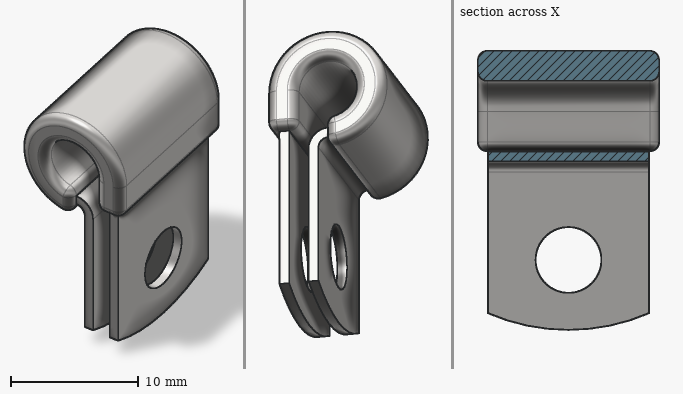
import cadquery as cq
import math


strap_thickness = 0.79375
strap_width = 12.7
strap_inner_radius = 3.175
strap_outer_radius = strap_inner_radius + strap_thickness
bend_inner_radius = strap_thickness
bend_outer_radius = bend_inner_radius + strap_thickness
bend_center_z = -strap_inner_radius - bend_outer_radius

tip_z = -17.21
tip_radius = 15.875
hole_diameter = 5.159
hole_z = -11.7

cushion_width = strap_width + 2 * strap_thickness
cushion_inner_radius = 2.37
cushion_outer_radius = 4.7775
cushion_leg_length = 3.15
cushion_arc_middle_angle = 135
cushion_fillet = 0.762


def point_on_circle(radius, angle):
    """Point at an angle (degrees, from +X towards +Z) on a circle about the loop axis."""
    return (radius * math.cos(math.radians(angle)), radius * math.sin(math.radians(angle)))


def extrude_centered(profile, width):
    """Close a profile and extrude it equally to both sides of its plane."""
    return profile.close().extrude(width / 2, both=True)


def make_cushion():
    """C-shaped cushion, cut square below the axis, with all edges rounded."""
    outer_middle = point_on_circle(cushion_outer_radius, cushion_arc_middle_angle)
    inner_middle = point_on_circle(cushion_inner_radius, cushion_arc_middle_angle)
    profile = (
        cq.Workplane("XZ")
        .moveTo(cushion_outer_radius, -cushion_leg_length)
        .lineTo(cushion_outer_radius, 0)
        .threePointArc(outer_middle, (0, -cushion_outer_radius))
        .lineTo(0, -cushion_inner_radius)
        .threePointArc(inner_middle, (cushion_inner_radius, 0))
        .lineTo(cushion_inner_radius, -cushion_leg_length)
    )
    return extrude_centered(profile, cushion_width).edges().fillet(cushion_fillet)


def make_straight_leg():
    """Leg that continues straight down from the loop."""
    profile = (
        cq.Workplane("XZ")
        .moveTo(strap_inner_radius, 0)
        .lineTo(strap_outer_radius, 0)
        .lineTo(strap_outer_radius, tip_z)
        .lineTo(strap_inner_radius, tip_z)
    )
    return extrude_centered(profile, strap_width)


def make_bent_leg():
    """Leg that leaves the bottom of the loop and bends down through a quarter turn."""
    root_x = -cushion_fillet
    diagonal = math.sqrt(0.5)
    outer_middle = (bend_outer_radius * diagonal, bend_center_z + bend_outer_radius * diagonal)
    inner_middle = (bend_inner_radius * diagonal, bend_center_z + bend_inner_radius * diagonal)
    profile = (
        cq.Workplane("XZ")
        .moveTo(root_x, -strap_inner_radius)
        .lineTo(0, -strap_inner_radius)
        .threePointArc(outer_middle, (bend_outer_radius, bend_center_z))
        .lineTo(bend_outer_radius, tip_z)
        .lineTo(bend_inner_radius, tip_z)
        .lineTo(bend_inner_radius, bend_center_z)
        .threePointArc(inner_middle, (0, -strap_outer_radius))
        .lineTo(root_x, -strap_outer_radius)
    )
    return extrude_centered(profile, strap_width)


def make_leg_outline():
    """Block whose lower end is the round tip of the legs."""
    half_width = strap_width / 2
    tip_corner_z = tip_z + tip_radius - math.sqrt(tip_radius**2 - half_width**2)
    profile = (
        cq.Workplane("YZ")
        .moveTo(-half_width, 0)
        .lineTo(-half_width, tip_corner_z)
        .threePointArc((0, tip_z), (half_width, tip_corner_z))
        .lineTo(half_width, 0)
    )
    return extrude_centered(profile, 2 * cushion_outer_radius)


def make_screw_hole():
    """Cylinder along X that passes through both legs."""
    return (
        cq.Workplane("YZ")
        .center(0, hole_z)
        .circle(hole_diameter / 2)
        .extrude(cushion_outer_radius, both=True)
    )


legs = make_straight_leg().union(make_bent_leg())
legs = legs.intersect(make_leg_outline()).cut(make_screw_hole())
result = make_cushion().union(legs)